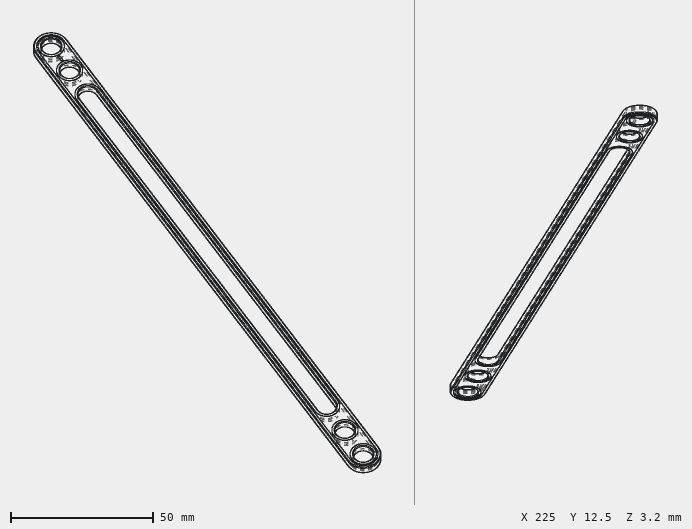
import cadquery as cq

length = 225.0
pitches_along_length = 18
thickness = 3.2
hole_diameter = 7.0
rim_diameter = 9.2
edge_chamfer = 0.32
recess_depth = 0.2
mark_width = 0.7
mark_end_gap = 0.11

pitch = length / pitches_along_length
width = pitch
rim_width = (rim_diameter - hole_diameter) / 2
mark_length = pitch - rim_diameter - 2 * mark_end_gap

outer_hole_x = length / 2 - width / 2
inner_hole_x = outer_hole_x - pitch
slot_end_x = inner_hole_x - pitch
mark_x = -(outer_hole_x + inner_hole_x) / 2


def perforated_bar(inset, height):
    """Round-ended bar with its holes and slot, every wall moved into the material by `inset`."""
    bar = cq.Workplane("XY").slot2D(length - 2 * inset, width - 2 * inset).extrude(height)

    opening = hole_diameter + 2 * inset
    hole_centers = [(side * x, 0) for side in (-1, 1) for x in (outer_hole_x, inner_hole_x)]
    holes = cq.Workplane("XY").pushPoints(hole_centers).circle(opening / 2).extrude(height)
    slot = cq.Workplane("XY").slot2D(2 * slot_end_x + opening, opening).extrude(height)
    return bar.cut(holes).cut(slot)


def end_mark():
    """Thin raised bar between the two holes at the -X end."""
    return cq.Workplane("XY").center(mark_x, 0).rect(mark_length, mark_width).extrude(recess_depth)


link = perforated_bar(0, thickness).faces("|Z").edges().chamfer(edge_chamfer)

recess = perforated_bar(rim_width, recess_depth)
top_recess = recess.cut(end_mark()).translate((0, 0, thickness - recess_depth))
link = link.cut(recess).cut(top_recess)

result = link.translate((0, 0, -thickness / 2))